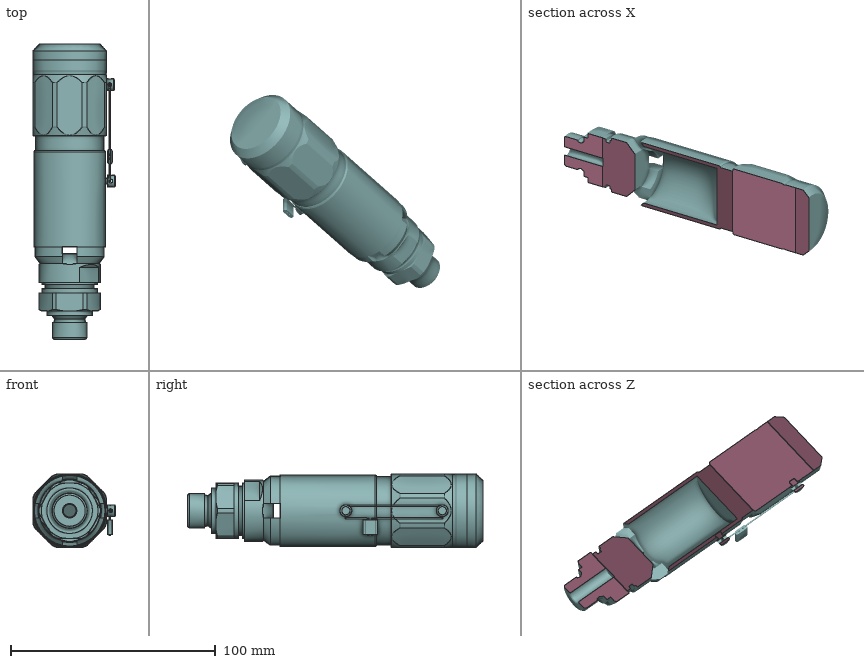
import cadquery as cq
import math

overall_length = 144.25

thread_radius = 8.5
thread_chamfer = 0.9
thread_back = 8.4
undercut_radius = 7.4
undercut_front_radius = 7.8
undercut_front = 9.7
undercut_back = 10.1
collar_cone_radius = 8.6
collar_radius = 11.1
collar_front = 11.7
hex_sides = 6
hex_across_flats = 27
hex_corner_radius = 15
hex_front = 13.95
hex_back = 22.75
hex_chamfer_length = 0.7
hex_chamfer_depth = 1.2
port_radius = 3.1
port_chamfer = 0.4

neck_radius = 12
neck_collar_radius = 13.6
neck_front = 24.85
neck_back = 26.85
barrel_radius = 15
barrel_front = 27.75
wrench_across_flats = 27
wrench_flat_back = 35.15
wrench_flat_angle = 45
cone_front = 37.05
cone_front_radius = 14.7
cone_back = 40.45
nose_radius = 17.2
seat_radius = 15.5
cavity_radius = 11
cavity_floor = 41.95
slot_width = 7
slot_count = 4

sleeve_radius = 17.5
sleeve_front = 45.25
sleeve_back = 92.25
sleeve_chamfer = 0.8
sleeve_neck_radius = 16.75
sleeve_bore_end = 90

grip_front = 99.25
grip_chamfer = 0.4
grip_sides = 8
grip_across_flats = 36
grip_radius = grip_across_flats / 2
grip_corner_radius = 19
grip_bevel_length = 4
grip_flats_back = 129.4
grip_taper_radius = 17.8
grip_taper_back = 131.1

cap_front = 136.35
cap_bevel_length = 3.5
cap_end_radius = 14.7

screw_radius = 2.9
screw_chamfer_length = 0.5
screw_chamfer_depth = 0.9
screw_head_length = 4
screw_stem_radius = 1.5
screw_stem_length = 2.5
front_screw_y = 77.3
front_screw_seat = 18.49
rear_screw_y = 124.35
rear_screw_seat = grip_radius
screw_hole_radius = 0.85
screw_hole_height = 1.55
cable_radius = 0.35
cable_x = 19.65
cable_top_z = 2.5
cable_bottom_z = -3.6
cable_tail_z = -12.2
seal_y = 89.25
seal_z = -8.1
seal_length = 7.2
seal_height = 7.2
seal_thickness = 2.3
strand_spacing = 2

CROSS_SECTION = cq.Plane(origin=(0, 0, 0), xDir=(1, 0, 0), normal=(0, 1, 0))


def turned(points):
    """Solid of revolution about Y from (radius, y) points."""
    return cq.Workplane("XY").polyline(points).close().revolve(360, (0, 0, 0), (0, 1, 0))


def prism(sides, across_flats, start, end, turn):
    """Regular prism along Y, rotated by `turn` degrees about Y."""
    corner_diameter = across_flats / math.cos(math.pi / sides)
    bar = cq.Workplane(CROSS_SECTION).polygon(sides, corner_diameter).extrude(end - start)
    return bar.rotate((0, 0, 0), (0, 1, 0), turn).translate((0, start, 0))


def make_adapter():
    shank = turned([
        (0, 0),
        (thread_radius - thread_chamfer, 0),
        (thread_radius, thread_chamfer),
        (thread_radius, thread_back),
        (undercut_front_radius, thread_back),
        (undercut_radius, undercut_front),
        (undercut_radius, undercut_back),
        (collar_cone_radius, collar_front),
        (collar_radius, collar_front),
        (collar_radius, hex_front),
        (0, hex_front),
    ])
    hex_envelope = turned([
        (0, hex_front),
        (hex_corner_radius - hex_chamfer_depth, hex_front),
        (hex_corner_radius, hex_front + hex_chamfer_length),
        (hex_corner_radius, hex_back),
        (0, hex_back),
    ])
    hexagon = prism(hex_sides, hex_across_flats, hex_front, hex_back, 0).intersect(hex_envelope)
    port = turned([
        (0, 0),
        (port_radius + port_chamfer, 0),
        (port_radius, port_chamfer),
        (port_radius, hex_back),
        (0, hex_back),
    ])
    return shank.union(hexagon).cut(port)


def wrench_flat_cutter():
    """Cuts one flat at the top of the barrel, ending in a 45 degree run-out."""
    flat_height = wrench_across_flats / 2
    depth = barrel_radius - flat_height
    return (
        cq.Workplane("YZ")
        .polyline([
            (barrel_front, flat_height),
            (wrench_flat_back, flat_height),
            (wrench_flat_back + 2 * depth, flat_height + 2 * depth),
            (barrel_front, flat_height + 2 * depth),
        ])
        .close()
        .extrude(barrel_radius, both=True)
    )


def slot_cutter(plug_back):
    """Cuts one slot at the top of the nose, with a floor sloping inward at 45 degrees."""
    floor_outer_y = cone_front - (barrel_radius - math.sqrt(barrel_radius**2 - (slot_width / 2)**2))
    floor_inner_z = barrel_radius - (cavity_floor - floor_outer_y)
    overrun = sleeve_radius - barrel_radius
    return (
        cq.Workplane("YZ")
        .polyline([
            (floor_outer_y - overrun, barrel_radius + overrun),
            (cavity_floor, floor_inner_z),
            (plug_back, floor_inner_z),
            (plug_back, barrel_radius + overrun),
        ])
        .close()
        .extrude(slot_width / 2, both=True)
    )


def make_nose():
    plug_back = sleeve_front + nose_radius - seat_radius
    nose = turned([
        (0, hex_back),
        (neck_collar_radius, hex_back),
        (neck_collar_radius, neck_front),
        (neck_radius, neck_front),
        (neck_radius, neck_back),
        (neck_collar_radius, neck_back),
        (neck_collar_radius, barrel_front),
        (barrel_radius, barrel_front),
        (barrel_radius, cone_front),
        (cone_front_radius, cone_front),
        (nose_radius, cone_back),
        (nose_radius, sleeve_front),
        (seat_radius, plug_back),
        (cavity_radius, plug_back),
        (cavity_radius, cavity_floor),
        (0, cavity_floor),
    ])
    for turn in (wrench_flat_angle, wrench_flat_angle + 180):
        nose = nose.cut(wrench_flat_cutter().rotate((0, 0, 0), (0, 1, 0), turn))
    for index in range(slot_count):
        turn = index * 360 / slot_count
        nose = nose.cut(slot_cutter(plug_back).rotate((0, 0, 0), (0, 1, 0), turn))
    return nose


def make_sleeve():
    """Tube closed at the back, with a conical seat for the nose at its front."""
    return turned([
        (nose_radius, sleeve_front),
        (sleeve_radius, sleeve_front),
        (sleeve_radius, sleeve_back - sleeve_chamfer),
        (sleeve_radius - sleeve_chamfer / 2, sleeve_back),
        (sleeve_neck_radius, sleeve_back),
        (sleeve_neck_radius, grip_front),
        (0, grip_front),
        (0, sleeve_bore_end),
        (seat_radius, sleeve_bore_end),
        (seat_radius, sleeve_front + nose_radius - seat_radius),
    ]).cut(screw_stem(front_screw_y, front_screw_seat))


def make_grip():
    envelope = turned([
        (0, grip_front),
        (grip_radius - grip_chamfer, grip_front),
        (grip_radius, grip_front + grip_chamfer),
        (grip_corner_radius, grip_front + grip_chamfer + grip_bevel_length),
        (grip_corner_radius, grip_flats_back - grip_bevel_length),
        (grip_taper_radius, grip_flats_back),
        (0, grip_flats_back),
    ])
    octagon = prism(grip_sides, grip_across_flats, grip_front, grip_flats_back, 180 / grip_sides)
    band = turned([
        (0, grip_flats_back),
        (grip_taper_radius, grip_flats_back),
        (grip_radius, grip_taper_back),
        (grip_radius, cap_front),
        (0, cap_front),
    ])
    return octagon.intersect(envelope).union(band).cut(screw_stem(rear_screw_y, rear_screw_seat))


def make_cap():
    return turned([
        (0, cap_front),
        (grip_radius, cap_front),
        (grip_radius, overall_length - cap_bevel_length),
        (cap_end_radius, overall_length),
        (0, overall_length),
    ])


def screw_stem(y, seat):
    """Screw stem, and the shape of its hole, reaching inward along X from the underside of its head."""
    head_underside = cq.Workplane("YZ", origin=(seat, y, 0))
    return head_underside.circle(screw_stem_radius).extrude(-screw_stem_length)


def make_screw(y, seat, other_screw_y):
    head = (
        cq.Workplane("YZ", origin=(seat, y, 0))
        .circle(screw_radius)
        .extrude(screw_head_length)
        .faces(">X")
        .chamfer(screw_chamfer_length, screw_chamfer_depth)
    )
    hole_x = seat + screw_hole_height
    upright_hole = (
        cq.Workplane("XY", origin=(hole_x, y, 0)).circle(screw_hole_radius).extrude(screw_radius, both=True)
    )
    lengthwise_hole = (
        cq.Workplane("XZ", origin=(hole_x, y, 0)).circle(screw_hole_radius).extrude(screw_radius, both=True)
    )
    groove_end = y + math.copysign(screw_radius, other_screw_y - y)
    groove = cq.Workplane("XY", origin=(cable_x, (y + groove_end) / 2, cable_top_z - cable_radius)).box(
        2 * cable_radius, screw_radius, screw_radius, centered=(True, True, False)
    )
    return head.union(screw_stem(y, seat)).cut(upright_hole).cut(lengthwise_hole).cut(groove)


def make_cable():
    """Wire through both screws whose two strands hang down through the seal."""
    front_strand_y = seal_y - strand_spacing / 2
    rear_strand_y = seal_y + strand_spacing / 2
    strand_top_z = seal_z + seal_height / 2 + 2 * cable_radius
    path = [
        (front_strand_y, cable_tail_z),
        (front_strand_y, strand_top_z),
        (front_screw_y, cable_bottom_z),
        (front_screw_y, cable_top_z),
        (rear_screw_y, cable_top_z),
        (rear_screw_y, cable_bottom_z),
        (rear_strand_y, strand_top_z),
        (rear_strand_y, cable_tail_z),
    ]
    cable = cq.Workplane("XY")
    for start, end in zip(path, path[1:]):
        origin = cq.Vector(cable_x, *start)
        run = cq.Vector(cable_x, *end) - origin
        cable = cable.union(cq.Workplane(cq.Solid.makeCylinder(cable_radius, run.Length, origin, run)))
    for bend in path[1:-1]:
        ball = cq.Workplane("XY").sphere(cable_radius)
        cable = cable.union(ball.translate((cable_x, *bend)))
    return cable


def make_seal():
    """Upright block with rounded ends, bored for the two strands."""
    return (
        cq.Workplane("XY", origin=(cable_x, seal_y, seal_z - seal_height / 2))
        .slot2D(seal_length, seal_thickness, 90)
        .extrude(seal_height)
        .faces(">Z")
        .workplane(origin=(cable_x, seal_y, 0))
        .rarray(1, strand_spacing, 1, 2)
        .hole(2 * cable_radius)
    )


adapter = make_adapter()
nose = make_nose()
sleeve = make_sleeve()
grip = make_grip()
cap = make_cap()
screws = [
    make_screw(front_screw_y, front_screw_seat, rear_screw_y),
    make_screw(rear_screw_y, rear_screw_seat, front_screw_y),
]
cable = make_cable()
seal = make_seal()

result = cq.Compound.makeCompound([
    adapter.val(),
    nose.val(),
    sleeve.val(),
    grip.val(),
    cap.val(),
    *[screw.val() for screw in screws],
    cable.val(),
    seal.val(),
])